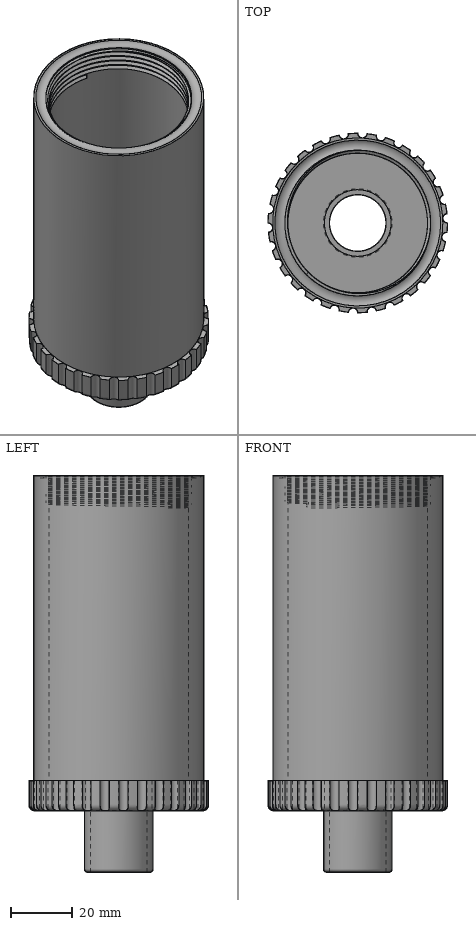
import cadquery as cq
TOTAL_HEIGHT = 130.0
CAP_BOTTOM = 20.2
CAP_TOP = 30.0

TUBE_DIAMETER = 55.8
TUBE_BORE_DIAMETER = 45.8

MOUTH_DIAMETER = 47.8
MOUTH_DEPTH = 0.8

THREAD_MAJOR_DIAMETER = 47.7
THREAD_PITCH = 2.0
THREAD_CREST_WIDTH = 0.2
THREAD_ROOT_WIDTH = 0.5
THREAD_LENGTH = 10.7
THREAD_START_ANGLE = 225.0
THREAD_OVERCUT = 0.06

TROUGH_OUTER_DIAMETER = 54.3
TROUGH_DEPTH = 0.8
TROUGH_LIP_DROP = 0.3

CAP_DIAMETER = 58.9
CAP_FILLET = 2.0
FLUTE_COUNT = 30
FLUTE_RADIUS = 1.5
FLUTE_START_ANGLE = 3.0

STEM_DIAMETER = 22.5
STEM_SPIGOT_DIAMETER = 21.8
STEM_BORE_DIAMETER = 18.5
STEM_FILLET = 1.0


def cylinder(diameter, bottom, top):
    """Upright cylinder on the Z axis between two heights."""
    return cq.Workplane("XY").workplane(offset=bottom).circle(diameter / 2).extrude(top - bottom)


def rim_trough():
    """Shallow round-bottomed ring cut into the top face, open to the threaded mouth."""
    inner = MOUTH_DIAMETER / 2
    outer = TROUGH_OUTER_DIAMETER / 2
    return (
        cq.Workplane("XZ")
        .moveTo(inner, TOTAL_HEIGHT)
        .lineTo(inner, TOTAL_HEIGHT - TROUGH_LIP_DROP)
        .threePointArc(((inner + outer) / 2, TOTAL_HEIGHT - TROUGH_DEPTH), (outer, TOTAL_HEIGHT))
        .close()
        .revolve(360, (0, 0, 0), (0, 1, 0))
    )


def thread_groove():
    """Right-handed helical groove, narrower at its root, that runs out through the top of the tube."""
    minor = TUBE_BORE_DIAMETER / 2
    major = THREAD_MAJOR_DIAMETER / 2
    mouth_half = (THREAD_PITCH - THREAD_CREST_WIDTH) / 2
    root_half = THREAD_ROOT_WIDTH / 2
    inside_half = mouth_half + THREAD_OVERCUT * (mouth_half - root_half) / (major - minor)
    inside = minor - THREAD_OVERCUT
    start = TOTAL_HEIGHT - THREAD_LENGTH + mouth_half
    climb = THREAD_LENGTH + THREAD_PITCH
    path = cq.Wire.makeHelix(THREAD_PITCH, climb, minor, cq.Vector(0, 0, start))
    return (
        cq.Workplane("XZ")
        .moveTo(inside, start - inside_half)
        .lineTo(major, start - root_half)
        .lineTo(major, start + root_half)
        .lineTo(inside, start + inside_half)
        .close()
        .sweep(path, isFrenet=True)
        .rotate((0, 0, 0), (0, 0, 1), THREAD_START_ANGLE)
    )


def make_tube():
    tube = cylinder(TUBE_DIAMETER, CAP_TOP, TOTAL_HEIGHT)
    tube = tube.cut(cylinder(TUBE_BORE_DIAMETER, CAP_TOP, TOTAL_HEIGHT))
    tube = tube.cut(cylinder(MOUTH_DIAMETER, TOTAL_HEIGHT - MOUTH_DEPTH, TOTAL_HEIGHT))
    tube = tube.cut(rim_trough())
    return tube.cut(thread_groove())


def make_cap():
    cap = cylinder(CAP_DIAMETER, CAP_BOTTOM, CAP_TOP)
    cap = cap.faces("<Z").edges().fillet(CAP_FILLET)
    cap = cap.cut(cylinder(STEM_SPIGOT_DIAMETER, CAP_BOTTOM, CAP_TOP))
    flutes = (
        cq.Workplane("XY")
        .workplane(offset=CAP_BOTTOM)
        .polarArray(CAP_DIAMETER / 2, FLUTE_START_ANGLE, 360, FLUTE_COUNT)
        .circle(FLUTE_RADIUS)
        .extrude(CAP_TOP - CAP_BOTTOM)
    )
    return cap.cut(flutes)


def make_stem():
    shank = cylinder(STEM_DIAMETER, 0, CAP_BOTTOM).faces("<Z").edges().fillet(STEM_FILLET)
    spigot = cylinder(STEM_SPIGOT_DIAMETER, CAP_BOTTOM, CAP_TOP)
    return shank.union(spigot).cut(cylinder(STEM_BORE_DIAMETER, 0, CAP_TOP))


tube = make_tube()
cap = make_cap()
stem = make_stem()

result = cq.Compound.makeCompound([tube.val(), cap.val(), stem.val()])